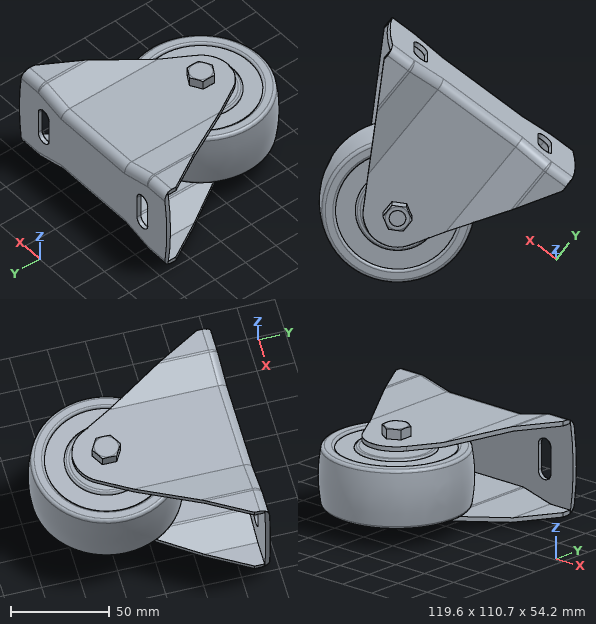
import cadquery as cq
import math


SHEET = 2.5
PLATE_BACK_Y = 70.7
PLATE_HALF_WIDTH = 59.8
PLATE_HALF_HEIGHT = 26.0
LEG_HALF_WIDTH = 57.7
LEG_STRAIGHT_DEPTH = 7.8
LEG_TIP_RADIUS = 17.6
LEG_SPAN = 42.5
LEG_OUTER_Z = LEG_SPAN / 2
CREASE_INNER_X = 25.1
CREASE_OUTER_X = 43.8
BEND_RADIUS = 5.0
SLOT_SPACING = 80.2
SLOT_WIDTH = 8.6
SLOT_LENGTH = 22.4

WHEEL_RADIUS = 40.0
WHEEL_HALF_WIDTH = 16.0
TREAD_EDGE_RADIUS = 38.4
TREAD_FILLET = 1.9
TREAD_INNER_RADIUS = 31.6
TREAD_INNER_FILLET = 1.4
HUB_FOOT_RADIUS = 21.5
HUB_RING_DEPTH = 0.4
DOME_DIAMETER = 38.0
DOME_TOP_DIAMETER = 19.5
DOME_TOP_Z = 17.8

SHANK_DIAMETER = 8.5
HEX_ACROSS_FLATS = 13.0
HEX_BEVEL_DIAMETER = 12.5
HEX_BEVEL_HEIGHT = 0.4
HEAD_HEIGHT = 5.6
NUT_HEIGHT = 6.1


def leg_blank():
    """Both legs as one full-height block: straight at the plate, then tapering to the round tip."""
    corner_y = PLATE_BACK_Y - LEG_STRAIGHT_DEPTH
    corner_distance = math.hypot(LEG_HALF_WIDTH, corner_y)
    tangent_angle = math.atan2(corner_y, LEG_HALF_WIDTH) - math.acos(LEG_TIP_RADIUS / corner_distance)
    tangent_x = LEG_TIP_RADIUS * math.cos(tangent_angle)
    tangent_y = LEG_TIP_RADIUS * math.sin(tangent_angle)
    return (
        cq.Workplane("XY")
        .moveTo(LEG_HALF_WIDTH, PLATE_BACK_Y)
        .lineTo(LEG_HALF_WIDTH, corner_y)
        .lineTo(tangent_x, tangent_y)
        .threePointArc((0, -LEG_TIP_RADIUS), (-tangent_x, tangent_y))
        .lineTo(-LEG_HALF_WIDTH, corner_y)
        .lineTo(-LEG_HALF_WIDTH, PLATE_BACK_Y)
        .close()
        .extrude(PLATE_HALF_HEIGHT, both=True)
    )


def creased_block(inset, rounded_crease_x):
    """Block along Y whose top and bottom follow the legs' creases, moved inward by the inset.

    The creases whose nominal distance from the middle is rounded_crease_x are rounded, the others stay sharp.
    """
    half_crease = math.atan2(PLATE_HALF_HEIGHT - LEG_OUTER_Z, CREASE_OUTER_X - CREASE_INNER_X) / 2
    crease_shift = inset * math.tan(half_crease)
    inner_x = CREASE_INNER_X + crease_shift
    outer_x = CREASE_OUTER_X + crease_shift
    low_z = LEG_OUTER_Z - inset
    high_z = PLATE_HALF_HEIGHT - inset
    upper = [
        (-PLATE_HALF_WIDTH, high_z),
        (-outer_x, high_z),
        (-inner_x, low_z),
        (inner_x, low_z),
        (outer_x, high_z),
        (PLATE_HALF_WIDTH, high_z),
    ]
    lower = [(x, -z) for x, z in reversed(upper)]
    depth = PLATE_BACK_Y + LEG_TIP_RADIUS
    plane = cq.Workplane("XZ", origin=(0, PLATE_BACK_Y, 0))
    block = plane.polyline(upper + lower).close().extrude(depth)
    rounded_x = rounded_crease_x + crease_shift
    rounded_edges = block.edges("|Y").filter(lambda edge: math.isclose(abs(edge.Center().x), rounded_x))
    return rounded_edges.fillet(BEND_RADIUS)


def plate_blank():
    """Mounting plate with both ends curved outward."""
    return (
        cq.Workplane("XZ", origin=(0, PLATE_BACK_Y, 0))
        .moveTo(-LEG_HALF_WIDTH, PLATE_HALF_HEIGHT)
        .lineTo(LEG_HALF_WIDTH, PLATE_HALF_HEIGHT)
        .threePointArc((PLATE_HALF_WIDTH, 0), (LEG_HALF_WIDTH, -PLATE_HALF_HEIGHT))
        .lineTo(-LEG_HALF_WIDTH, -PLATE_HALF_HEIGHT)
        .threePointArc((-PLATE_HALF_WIDTH, 0), (-LEG_HALF_WIDTH, PLATE_HALF_HEIGHT))
        .close()
        .extrude(SHEET)
    )


def make_bracket():
    """Sheet-metal fork: a plate with two slots and two creased legs, each bent on its convex side."""
    outside = creased_block(0, CREASE_OUTER_X)
    outside = outside.faces(">Y").edges("not |Z").fillet(BEND_RADIUS)
    inside = creased_block(SHEET, CREASE_INNER_X)
    plate = plate_blank()
    legs = leg_blank().cut(inside)
    slots = (
        cq.Workplane("XZ", origin=(0, PLATE_BACK_Y, 0))
        .pushPoints([(-SLOT_SPACING / 2, 0), (SLOT_SPACING / 2, 0)])
        .slot2D(SLOT_LENGTH, SLOT_WIDTH, 90)
        .extrude(SHEET)
    )
    axle_hole = cq.Workplane("XY").circle(SHANK_DIAMETER / 2).extrude(PLATE_HALF_HEIGHT, both=True)
    return legs.union(plate).intersect(outside).cut(slots).cut(axle_hole)


def make_tread():
    """Crowned tyre around the core."""
    ring = (
        cq.Workplane("XZ")
        .moveTo(TREAD_INNER_RADIUS, -WHEEL_HALF_WIDTH)
        .lineTo(TREAD_EDGE_RADIUS, -WHEEL_HALF_WIDTH)
        .threePointArc((WHEEL_RADIUS, 0), (TREAD_EDGE_RADIUS, WHEEL_HALF_WIDTH))
        .lineTo(TREAD_INNER_RADIUS, WHEEL_HALF_WIDTH)
        .close()
        .revolve(360, (0, 0, 0), (0, 1, 0))
    )
    inner_edges = cq.selectors.RadiusNthSelector(0)
    outer_edges = cq.selectors.RadiusNthSelector(-1)
    ring = ring.faces("|Z").edges(outer_edges).fillet(TREAD_FILLET)
    return ring.faces("|Z").edges(inner_edges).fillet(TREAD_INNER_FILLET)


def make_core():
    """Wheel core: a disc with a raised, domed hub on each side and a bore for the bolt."""
    disc_z = WHEEL_HALF_WIDTH - TREAD_INNER_FILLET
    ring_z = WHEEL_HALF_WIDTH - HUB_RING_DEPTH
    hub_round = ring_z - disc_z
    round_mid_offset = hub_round * (1 - math.sqrt(0.5))
    bore_radius = SHANK_DIAMETER / 2
    half = (
        cq.Workplane("XZ")
        .moveTo(bore_radius, 0)
        .lineTo(TREAD_INNER_RADIUS, 0)
        .lineTo(TREAD_INNER_RADIUS, disc_z)
        .lineTo(HUB_FOOT_RADIUS, disc_z)
        .threePointArc(
            (HUB_FOOT_RADIUS - round_mid_offset, ring_z - round_mid_offset),
            (HUB_FOOT_RADIUS - hub_round, ring_z),
        )
        .lineTo(DOME_DIAMETER / 2, ring_z)
        .lineTo(DOME_TOP_DIAMETER / 2, DOME_TOP_Z)
        .lineTo(bore_radius, DOME_TOP_Z)
        .close()
        .revolve(360, (0, 0, 0), (0, 1, 0))
    )
    return half.union(half.mirror("XY"))


def hexagon(height):
    """Hexagonal prism from Z = 0 up, with its corners bevelled at the top and flats facing X."""
    corner_diameter = HEX_ACROSS_FLATS / math.cos(math.pi / 6)
    prism = cq.Workplane("XY").polygon(6, corner_diameter).extrude(height)
    prism = prism.rotate((0, 0, 0), (0, 0, 1), 30)
    envelope = (
        cq.Workplane("XZ")
        .lineTo(corner_diameter / 2, 0)
        .lineTo(corner_diameter / 2, height - HEX_BEVEL_HEIGHT)
        .lineTo(HEX_BEVEL_DIAMETER / 2, height)
        .lineTo(0, height)
        .close()
        .revolve(360, (0, 0, 0), (0, 1, 0))
    )
    return prism.intersect(envelope)


def make_bolt():
    """Hexagon bolt put in from above, its end flush with the nut."""
    shank_end_z = -LEG_OUTER_Z - NUT_HEIGHT
    shank = (
        cq.Workplane("XY", origin=(0, 0, shank_end_z))
        .circle(SHANK_DIAMETER / 2)
        .extrude(LEG_OUTER_Z - shank_end_z)
    )
    return hexagon(HEAD_HEIGHT).translate((0, 0, LEG_OUTER_Z)).union(shank)


def make_nut():
    """Nut against the outside of the lower leg."""
    nut = hexagon(NUT_HEIGHT).mirror("XY").translate((0, 0, -LEG_OUTER_Z))
    bore = cq.Workplane("XY").circle(SHANK_DIAMETER / 2).extrude(-LEG_OUTER_Z - NUT_HEIGHT)
    return nut.cut(bore)


bracket = make_bracket()
tread = make_tread()
core = make_core()
bolt = make_bolt()
nut = make_nut()

result = cq.Compound.makeCompound([bracket.val(), tread.val(), core.val(), bolt.val(), nut.val()])